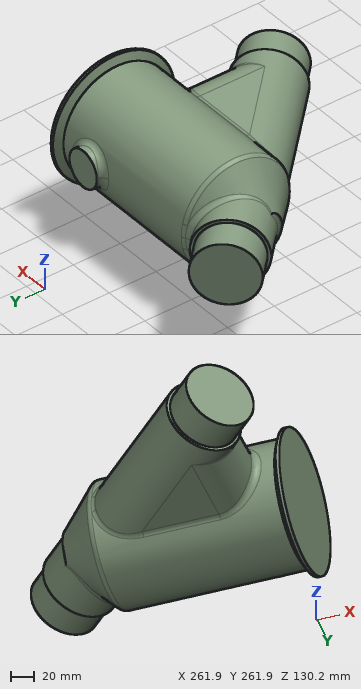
import cadquery as cq
import math

inch = 25.4

run_angle = 45
pipe_diameter = 2.5 * inch
collar_diameter = 2.75 * inch
run_extent = 261.89
pipe_length = run_extent * math.sqrt(2) - pipe_diameter
pipe_end = 8.75 * inch
upper_stub_length = 30.8
lower_stub_length = 1.25 * inch

body_radius = 2.25 * inch
body_end = 7 * inch
cone_clearance = inch / 8
cone_tip_radius = 20.8

flange_radius = 130.18 / 2
rim_thickness = 3.2
flange_taper_length = 4.2

web_round_center = 117.5

boss_center = 132.5
boss_radius = 0.75 * inch

fillet_radius = inch / 4
margin = 0.1

collar_radius = collar_diameter / 2
pipe_start = pipe_end - pipe_length
collar_start = pipe_start + upper_stub_length
collar_end = pipe_end - lower_stub_length
web_reach = web_round_center + collar_radius
cone_base = body_radius - (collar_radius + cone_clearance) * math.sqrt(2)
cone_tip = cone_base - (body_radius - cone_tip_radius)
rim_back = body_end - rim_thickness
taper_start = rim_back - flange_taper_length


def run_cylinder(diameter, start, length):
    """Cylinder along the run axis, starting at a signed distance from the origin."""
    direction = cq.Vector(math.cos(math.radians(run_angle)), -math.sin(math.radians(run_angle)), 0)
    solid = cq.Solid.makeCylinder(diameter / 2, length, direction * start, direction)
    return cq.Workplane(obj=solid)


def make_body():
    """Cone and cylinder turned about X."""
    profile = [
        (cone_tip, 0),
        (cone_tip, cone_tip_radius),
        (cone_base, body_radius),
        (body_end, body_radius),
        (body_end, 0),
    ]
    return cq.Workplane("XY").polyline(profile).close().revolve(360, (0, 0, 0), (1, 0, 0))


def make_flange():
    profile = [
        (taper_start, 0),
        (taper_start, body_radius),
        (rim_back, flange_radius),
        (body_end, flange_radius),
        (body_end, 0),
    ]
    return cq.Workplane("XY").polyline(profile).close().revolve(360, (0, 0, 0), (1, 0, 0))


def make_web():
    """Round-ended plate as thick as the collar, trimmed to end on the run axis plane."""
    plate = (
        cq.Workplane("XZ")
        .moveTo(0, -collar_radius)
        .lineTo(web_round_center, -collar_radius)
        .threePointArc((web_round_center + collar_radius, 0), (web_round_center, collar_radius))
        .lineTo(0, collar_radius)
        .close()
        .extrude(web_reach)
    )
    body_side = (
        cq.Workplane("XY")
        .polyline([(0, 0), (web_reach, -web_reach), (web_reach, 0)])
        .close()
        .extrude(body_radius, both=True)
    )
    return plate.intersect(body_side)


def make_boss():
    return cq.Workplane("XZ", (boss_center, 0, 0)).circle(boss_radius).extrude(-flange_radius)


def edges_inside(x_range, y_range):
    """Selector for edges lying wholly inside an X and Y range, at any height."""
    low = (x_range[0] - margin, y_range[0] - margin, -flange_radius)
    high = (x_range[1] + margin, y_range[1] + margin, flange_radius)
    return cq.selectors.BoxSelector(low, high, boundingbox=True)


collar = run_cylinder(collar_diameter, collar_start, collar_end - collar_start)
pipe = run_cylinder(pipe_diameter, pipe_start, pipe_length)
result = make_body().union(collar).union(pipe).union(make_web()).union(make_boss())

body_web_seam = edges_inside((0, web_reach), (-body_radius, -collar_radius))
web_collar_seam = edges_inside((web_round_center, web_reach), (-web_round_center, -body_radius))
boss_seam = edges_inside(
    (boss_center - boss_radius, boss_center + boss_radius),
    (collar_radius, body_radius),
)
cone_seam = edges_inside((cone_tip, 0), (-collar_radius / 2, body_radius))
cone_edge = edges_inside((cone_base, cone_base), (-body_radius, body_radius))

result = result.edges(cone_seam).fillet(fillet_radius)
result = result.edges(cone_edge).fillet(fillet_radius)
result = result.edges(body_web_seam + web_collar_seam + boss_seam).fillet(fillet_radius)
result = result.union(make_flange())